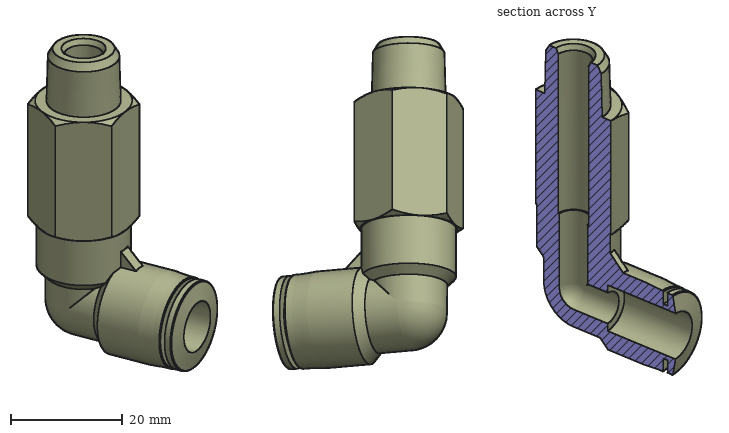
import cadquery as cq
import math


hex_flats = 17.45
hex_corners = hex_flats / math.cos(math.radians(30))
hex_bottom = 15.6
hex_top = 39.55
hex_chamfer_angle = 30

spigot_base_radius = 6.7
spigot_end_radius = 6.45
spigot_tip_radius = 5.6
spigot_top = 50.0
spigot_chamfer_height = 1.45

elbow_radius = 6.95
collar_radius = 8.5
collar_bottom = 6.65
collar_cone_bottom = collar_bottom - (collar_radius - elbow_radius)

port_radius = 8.75
port_start = 7.95
port_cone_start = port_start - (port_radius - elbow_radius)
taper_start = 16.4
sleeve_start = 19.4
sleeve_end = 20.8
sleeve_end_radius = 8.5
sleeve_edge = 0.2


ring_neck_radius = 11.5 / 2
ring_radius = 16.8 / 2
overall_length = 32.3
ring_start = 21.7
ring_rim_end = 23.05
ring_end = overall_length - hex_flats / 2
ring_face_radius = 5.1
ring_edge = 0.2

gusset_width = 2.45
gusset_leg = 3.0

bore_mouth_radius = 4.0
bore_end_radius = 6.9 / 2
bore_mouth_depth = 1.05
passage_radius = 6.4 / 2
tube_radius = 9.5 / 2


def revolve_about_z(points):
    """Solid of revolution from (radius, z) points."""
    return cq.Workplane("XZ").polyline(points).close().revolve(360, (0, 0, 0), (0, 1, 0))


def revolve_about_x(points):
    """Solid of revolution from (x, radius) points."""
    return cq.Workplane("XZ").polyline(points).close().revolve(360, (0, 0, 0), (1, 0, 0))


def hexagon():
    """Hexagonal prism whose corners are chamfered at both ends."""
    height = hex_top - hex_bottom
    prism = (
        cq.Workplane("XY", origin=(0, 0, hex_bottom))
        .polygon(6, hex_corners)
        .extrude(height)
        .rotate((0, 0, 0), (0, 0, 1), 30)
    )
    flat_radius = hex_flats / 2
    outer_radius = hex_corners / 2 + 0.6
    drop = (outer_radius - flat_radius) * math.tan(math.radians(hex_chamfer_angle))
    envelope = revolve_about_z([
        (0, hex_bottom),
        (flat_radius, hex_bottom),
        (outer_radius, hex_bottom + drop),
        (outer_radius, hex_top - drop),
        (flat_radius, hex_top),
        (0, hex_top),
    ])
    return prism.intersect(envelope)


def spigot():
    return revolve_about_z([
        (0, hex_top),
        (spigot_base_radius, hex_top),
        (spigot_end_radius, spigot_top - spigot_chamfer_height),
        (spigot_tip_radius, spigot_top),
        (0, spigot_top),
    ])


def elbow_stem():
    """Elbow leg, cone and collar up to the hexagon."""
    return revolve_about_z([
        (0, 0),
        (elbow_radius, 0),
        (elbow_radius, collar_cone_bottom),
        (collar_radius, collar_bottom),
        (collar_radius, hex_bottom),
        (0, hex_bottom),
    ])


def port():
    """Horizontal elbow leg, port body, sleeve and release ring."""
    return revolve_about_x([
        (0, 0),
        (0, elbow_radius),
        (port_cone_start, elbow_radius),
        (port_start, port_radius),
        (taper_start, port_radius),
        (sleeve_start, sleeve_end_radius),
        (sleeve_end - sleeve_edge, sleeve_end_radius),
        (sleeve_end, sleeve_end_radius - sleeve_edge),
        (sleeve_end, ring_neck_radius),
        (ring_start, ring_neck_radius),
        (ring_start, ring_radius),
        (ring_rim_end - ring_edge, ring_radius),
        (ring_rim_end, ring_radius - ring_edge),
        (ring_end, ring_face_radius),
        (ring_end, 0),
    ])


def gusset():
    """45 degree web that fills the corner of the elbow."""
    root_x = collar_radius - 0.6
    root_z = port_radius - 0.6
    hypotenuse_sum = collar_radius + port_radius + gusset_leg
    return (
        cq.Workplane("XZ")
        .polyline([
            (root_x, root_z),
            (hypotenuse_sum - root_z, root_z),
            (root_x, hypotenuse_sum - root_x),
        ])
        .close()
        .extrude(gusset_width / 2, both=True)
    )


def passages():
    """Stem bore with a countersunk mouth, rounded elbow passage and tube socket."""
    stem_bore = revolve_about_z([
        (0, 0),
        (passage_radius, 0),
        (passage_radius, hex_bottom),
        (bore_end_radius, hex_bottom),
        (bore_end_radius, spigot_top - bore_mouth_depth),
        (bore_mouth_radius, spigot_top),
        (0, spigot_top),
    ])
    port_bore = revolve_about_x([
        (0, 0),
        (0, passage_radius),
        (port_start, passage_radius),
        (port_start, tube_radius),
        (ring_end, tube_radius),
        (ring_end, 0),
    ])
    return stem_bore.union(port_bore).union(cq.Workplane("XY").sphere(passage_radius))


body = cq.Workplane("XY").sphere(elbow_radius)
for feature in (elbow_stem(), port(), hexagon(), spigot(), gusset()):
    body = body.union(feature)

result = body.cut(passages())